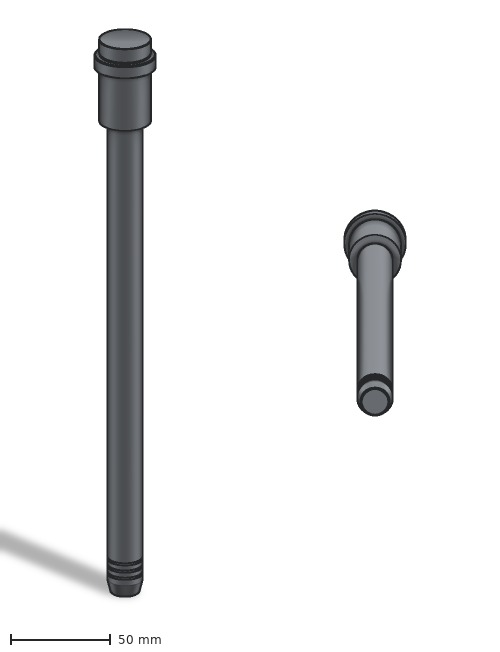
import cadquery as cq
import math

total_length = 300.0
shank_diameter = 18.0

head_diameter = 26.0
head_length = 44.5
head_chamfer = 0.3
flange_diameter = 31.0
flange_thickness = 6.5
flange_setback = 8.5
flange_chamfer = 0.5

relief_width = 1.0
relief_depth = 0.3

taper_length = 7.2
taper_angle = 14.0
tip_chamfer = 0.5

groove_count = 3
groove_pitch = 4.0
groove_width = 1.2
groove_depth = 0.3
first_groove_height = 10.8


def cylinder(diameter, bottom, height):
    return cq.Workplane("XY").workplane(offset=bottom).circle(diameter / 2).extrude(height)


def ring_cutter(surface_diameter, bottom, width, depth):
    """Ring that cuts a groove of the given depth into a cylindrical surface."""
    core = cylinder(surface_diameter - 2 * depth, bottom, width)
    return cylinder(surface_diameter, bottom, width).cut(core)


shank_radius = shank_diameter / 2
tip_radius = shank_radius - taper_length * math.tan(math.radians(taper_angle))
shank = (
    cq.Workplane("XZ")
    .lineTo(tip_radius, 0)
    .lineTo(shank_radius, taper_length)
    .lineTo(shank_radius, total_length)
    .lineTo(0, total_length)
    .close()
    .revolve(360, (0, 0, 0), (0, 1, 0))
    .faces("<Z")
    .chamfer(tip_chamfer)
)
for index in range(groove_count):
    groove_bottom = first_groove_height + index * groove_pitch - groove_width / 2
    shank = shank.cut(ring_cutter(shank_diameter, groove_bottom, groove_width, groove_depth))

head_bottom = total_length - head_length
shank = shank.cut(ring_cutter(shank_diameter, head_bottom - relief_width, relief_width, relief_depth))

flange_top = total_length - flange_setback
flange_bottom = flange_top - flange_thickness
head = cylinder(head_diameter, head_bottom, head_length).faces(">Z").chamfer(head_chamfer)
for relief_bottom in (flange_top, flange_bottom - relief_width):
    head = head.cut(ring_cutter(head_diameter, relief_bottom, relief_width, relief_depth))

flange = cylinder(flange_diameter, flange_bottom, flange_thickness)
flange = flange.faces(">Z").chamfer(flange_chamfer)

result = shank.union(head).union(flange)